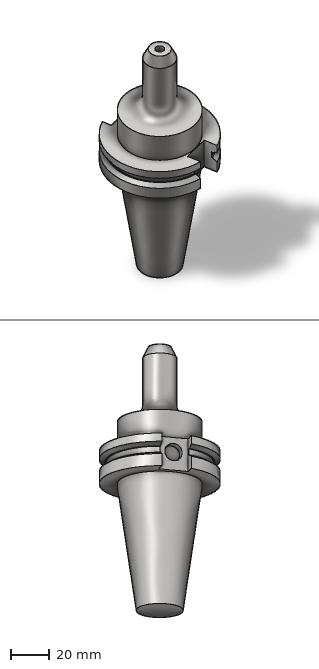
import cadquery as cq
import math

total_height = 144.5
taper_length = 68.2
collar_height = 1.3
flange_height = 17.9
boss_height = 16.0

flange_bottom = taper_length + collar_height
flange_top = flange_bottom + flange_height
boss_top = flange_top + boss_height

taper_rate = 7 / 24
gauge_radius = 22.2
taper_end_radius = gauge_radius - taper_length * taper_rate / 2

flange_diameter = 63.4
flange_radius = flange_diameter / 2
groove_radius = 28.2
groove_flank_end_radius = 28.9
upper_rim_height = 4.5
lower_rim_height = 6.6
groove_floor_height = 3.5
groove_mouth_height = flange_height - upper_rim_height - lower_rim_height
groove_flank_height = (groove_mouth_height - groove_floor_height) / 2

nose_radius = 9.0
nose_fillet_radius = 9.8
tip_radius = 6.0
tip_height = 5.9
bore_diameter = 5.0
bore_depth = 28.9

slot_width = 16.0
left_slot_floor = 25.0
right_slot_floor = 22.5

pocket_diameter = 9.4
pocket_depth = 4.6
pocket_below_flange_top = 8.0


def turned_body():
    """Revolve the half profile about the Z axis, following it from the taper end up to the tip."""
    groove_bottom = flange_bottom + lower_rim_height
    groove_top = flange_top - upper_rim_height
    fillet_top = boss_top + nose_fillet_radius
    arc_middle_offset = nose_fillet_radius * (1 - math.cos(math.radians(45)))
    arc_middle = (nose_radius + arc_middle_offset, boss_top + arc_middle_offset)
    profile = (
        cq.Workplane("XZ")
        .lineTo(taper_end_radius, 0)
        .lineTo(gauge_radius, taper_length)
        .lineTo(gauge_radius, flange_bottom)
        .lineTo(flange_radius, flange_bottom)
        .lineTo(flange_radius, groove_bottom)
        .lineTo(groove_flank_end_radius, groove_bottom + groove_flank_height)
        .lineTo(groove_radius, groove_bottom + groove_flank_height)
        .lineTo(groove_radius, groove_top - groove_flank_height)
        .lineTo(groove_flank_end_radius, groove_top - groove_flank_height)
        .lineTo(flange_radius, groove_top)
        .lineTo(flange_radius, flange_top)
        .lineTo(gauge_radius, flange_top)
        .lineTo(gauge_radius, boss_top)
        .lineTo(nose_radius + nose_fillet_radius, boss_top)
        .threePointArc(arc_middle, (nose_radius, fillet_top))
        .lineTo(nose_radius, total_height - tip_height)
        .lineTo(tip_radius, total_height)
        .lineTo(0, total_height)
        .close()
    )
    return profile.revolve(360, (0, 0, 0), (0, 1, 0))


def drive_slot(side, floor_distance):
    """Cutter for a slot through the full flange height; side is -1 for -X and +1 for +X."""
    cutter_length = flange_radius
    return (
        cq.Workplane("XY", origin=(side * (floor_distance + cutter_length / 2), 0, flange_bottom))
        .rect(cutter_length, slot_width)
        .extrude(flange_height)
    )


def tool_bore():
    """Cutter for the flat-bottomed bore in the tip."""
    return (
        cq.Workplane("XY", origin=(0, 0, total_height - bore_depth))
        .circle(bore_diameter / 2)
        .extrude(bore_depth)
    )


def slot_pocket():
    """Cutter for the round pocket that sinks from the left slot floor toward the axis."""
    return (
        cq.Workplane("YZ", origin=(-left_slot_floor, 0, flange_top - pocket_below_flange_top))
        .circle(pocket_diameter / 2)
        .extrude(pocket_depth)
    )


result = (
    turned_body()
    .cut(drive_slot(-1, left_slot_floor))
    .cut(drive_slot(1, right_slot_floor))
    .cut(tool_bore())
    .cut(slot_pocket())
)